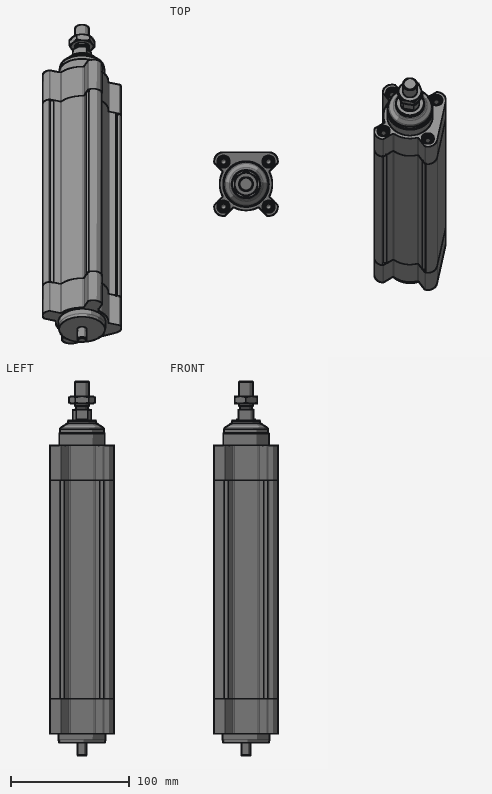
import cadquery as cq
import math

cap_length = 29.5
body_length = 243.5
tube_top = -cap_length
tube_bottom = cap_length - body_length
body_bottom = -body_length

body_width = 54.0
bolt_spacing = 38.0
bolt_offset = bolt_spacing / 2
lug_radius = body_width / 2 - bolt_offset
lug_angles = (45, 135, 225, 315)
web_half_width = 6.4
barrel_radius = 22.3
web_fillet = 1.0
lug_fillet = 1.0

notch_width = 6.0
notch_wall = 18.4
notch_floor = 24.2
notch_fillet = 0.7

recess_mouth_diameter = 10.5
recess_diameter = 9.0
recess_depth = 3.0
recess_floor_chamfer = 0.5
thread_mouth_diameter = 6.0
thread_core_diameter = 4.92
thread_depth = 16.0
drill_tip_angle = 118.0

boss_radius = 19.4
boss_height = 9.7
neck_radius = 18.7
neck_base_height = 10.4
neck_top_height = 13.5
shoulder_low_radius = 18.3
shoulder_low_height = 14.4
shoulder_radius = 17.6
shoulder_height = 15.2
cone_radius = 14.3
cone_height = 17.2
collar_base_radius = 13.1
collar_base_height = 18.0
collar_radius = 12.0
collar_foot_height = 18.5
collar_edge_height = 20.4
collar_top_radius = 11.6
collar_height = 21.1

rod_diameter = 16.0
flat_width = 13.0
flat_bottom = 21.9
rod_thread_diameter = 12.0
rod_thread_tip_diameter = 10.65
relief_diameter = 10.47
relief_length = 2.0
rod_thread_length = 24.0
rod_tip = 53.9
shoulder_z = rod_tip - rod_thread_length
relief_taper = 0.6
relief_bottom = shoulder_z + relief_taper
relief_top = relief_bottom + relief_length

nut_width = 19.0
nut_thickness = 6.0
nut_bottom = 35.2
nut_chamfer_angle = 30.0

rear_boss_radius = 20.0
rear_boss_end_radius = 19.3
rear_boss_length = 7.5
rear_boss_taper = 3.0
shaft_diameter = 8.0
shaft_length = 11.0
shaft_chamfer = 0.8


def revolved(profile):
    """Solid of revolution about Z from (radius, height) points."""
    return cq.Workplane("XZ").polyline(profile).close().revolve(360, (0, 0, 0), (0, 1, 0))


def axis_distance(edge):
    """Distance of an edge's centre from the Z axis."""
    center = edge.Center()
    return math.hypot(center.x, center.y)


def turned(along, across, angle):
    """Point given along and across a direction that stands at an angle to X."""
    cosine = math.cos(math.radians(angle))
    sine = math.sin(math.radians(angle))
    return (along * cosine - across * sine, along * sine + across * cosine)


def body_section(bottom, length):
    """Round barrel with four corner lugs on diagonal webs and one flat side on +Y."""
    lug_distance = bolt_offset * math.sqrt(2)
    lug_cut = lug_distance + math.sqrt(lug_radius**2 - web_half_width**2)
    web_root = math.sqrt(barrel_radius**2 - web_half_width**2)
    base = cq.Workplane("XY", origin=(0, 0, bottom))

    outline = base.moveTo(*turned(web_root, -web_half_width, lug_angles[0]))
    for angle in lug_angles:
        outline = (
            outline.lineTo(*turned(lug_cut, -web_half_width, angle))
            .threePointArc(
                turned(lug_distance + lug_radius, 0, angle),
                turned(lug_cut, web_half_width, angle),
            )
            .lineTo(*turned(web_root, web_half_width, angle))
            .threePointArc(
                turned(barrel_radius, 0, angle + 45),
                turned(web_root, -web_half_width, angle + 90),
            )
        )
    section = outline.close().extrude(length)

    between = (barrel_radius + lug_distance) / 2
    section = section.edges("|Z").filter(lambda edge: axis_distance(edge) < between).fillet(web_fillet)
    section = section.edges("|Z").filter(lambda edge: axis_distance(edge) > between).fillet(lug_fillet)

    flat_side = base.rect(bolt_spacing, body_width / 2, centered=(True, False)).extrude(length)
    return section.union(flat_side)


def mounting_hole_cutter():
    """Stepped recess, thread mouth and drilled core, pointing down from the cap face."""
    tip_length = thread_core_diameter / 2 / math.tan(math.radians(drill_tip_angle / 2))
    mouth = recess_mouth_diameter / 2
    recess = recess_diameter / 2
    thread = thread_mouth_diameter / 2
    core = thread_core_diameter / 2
    return revolved(
        [
            (0, 0),
            (mouth, 0),
            (recess, recess - mouth),
            (recess, -recess_depth + recess_floor_chamfer),
            (recess - recess_floor_chamfer, -recess_depth),
            (thread, -recess_depth),
            (core, -recess_depth - thread + core),
            (core, -thread_depth),
            (0, -thread_depth - tip_length),
        ]
    )


def make_front_cap():
    """Front cap with its bearing collar, rod bore and mounting holes."""
    bearing = revolved(
        [
            (0, 0),
            (boss_radius, 0),
            (boss_radius, boss_height),
            (neck_radius, neck_base_height),
            (neck_radius, neck_top_height),
            (shoulder_low_radius, shoulder_low_height),
            (shoulder_radius, shoulder_height),
            (cone_radius, cone_height),
            (collar_base_radius, collar_base_height),
            (collar_radius, collar_foot_height),
            (collar_radius, collar_edge_height),
            (collar_top_radius, collar_height),
            (0, collar_height),
        ]
    )
    cap = body_section(tube_top, cap_length).union(bearing)
    for x in (-bolt_offset, bolt_offset):
        for y in (-bolt_offset, bolt_offset):
            cap = cap.cut(mounting_hole_cutter().translate((x, y, 0)))
    rod_bore = cq.Workplane("XY", origin=(0, 0, tube_top)).circle(rod_diameter / 2)
    return cap.cut(rod_bore.extrude(cap_length + collar_height))


def is_notch_rim(edge):
    """True for the outer edge of a notch wall, where it meets the lug."""
    center = edge.Center()
    inner, outer = sorted((abs(center.x), abs(center.y)))
    at_wall = math.isclose(inner, notch_wall, abs_tol=1e-3)
    return at_wall and outer > (notch_floor + body_width / 2) / 2


def make_tube():
    """Profile tube whose lugs are notched along the three round sides."""
    length = tube_top - tube_bottom
    tube = body_section(tube_bottom, length)
    base = cq.Workplane("XY", origin=(0, 0, tube_bottom))
    notch_depth = body_width / 2 - notch_floor
    notch = base.center(notch_wall - notch_width / 2, -notch_floor - notch_depth / 2)
    notch = notch.rect(notch_width, notch_depth).extrude(length)
    for turn in (-90, 0, 90):
        for side in (notch, notch.mirror("YZ")):
            tube = tube.cut(side.rotate((0, 0, 0), (0, 0, 1), turn))
    return tube.edges("|Z").filter(is_notch_rim).fillet(notch_fillet)


def make_rear_cap():
    """Rear cap with its tapered boss and drive shaft."""
    boss_bottom = body_bottom - rear_boss_length
    shaft_bottom = boss_bottom - shaft_length
    shaft_radius = shaft_diameter / 2
    rear = revolved(
        [
            (0, body_bottom),
            (rear_boss_radius, body_bottom),
            (rear_boss_radius, boss_bottom + rear_boss_taper),
            (rear_boss_end_radius, boss_bottom),
            (shaft_radius, boss_bottom),
            (shaft_radius, shaft_bottom + shaft_chamfer),
            (shaft_radius - shaft_chamfer, shaft_bottom),
            (0, shaft_bottom),
        ]
    )
    return body_section(body_bottom, cap_length).union(rear)


def make_rod():
    """Piston rod with wrench flats, thread relief and threaded end; it ends against the tube."""
    rod_radius = rod_diameter / 2
    thread = rod_thread_diameter / 2
    tip = rod_thread_tip_diameter / 2
    relief = relief_diameter / 2
    rod = revolved(
        [
            (0, tube_top),
            (rod_radius, tube_top),
            (rod_radius, shoulder_z),
            (thread, shoulder_z),
            (relief, relief_bottom),
            (relief, relief_top),
            (thread, relief_top + thread - relief),
            (thread, rod_tip - thread + tip),
            (tip, rod_tip),
            (0, rod_tip),
        ]
    )
    flat_length = shoulder_z - flat_bottom
    for side in (-1, 1):
        flat = cq.Workplane("XY", origin=(side * (flat_width + rod_diameter) / 2, 0, flat_bottom))
        rod = rod.cut(flat.rect(rod_diameter, rod_diameter).extrude(flat_length))
    return rod


def make_nut():
    """Hexagonal lock nut with two flats facing X, chamfered on both faces."""
    across_corners = nut_width / math.cos(math.radians(30))
    corner = across_corners / 2
    face = nut_width / 2
    drop = (corner - face) * math.tan(math.radians(nut_chamfer_angle))
    nut_top = nut_bottom + nut_thickness
    envelope = revolved(
        [
            (0, nut_bottom),
            (face, nut_bottom),
            (corner, nut_bottom + drop),
            (corner, nut_top - drop),
            (face, nut_top),
            (0, nut_top),
        ]
    )
    base = cq.Workplane("XY", origin=(0, 0, nut_bottom))
    hexagon = base.polygon(6, across_corners).extrude(nut_thickness).rotate((0, 0, 0), (0, 0, 1), 30)
    bore = base.circle(rod_thread_diameter / 2).extrude(nut_thickness)
    return hexagon.intersect(envelope).cut(bore)


front_cap = make_front_cap()
tube = make_tube()
rear_cap = make_rear_cap()
rod = make_rod()
nut = make_nut()

result = cq.Compound.makeCompound([front_cap.val(), tube.val(), rear_cap.val(), rod.val(), nut.val()])